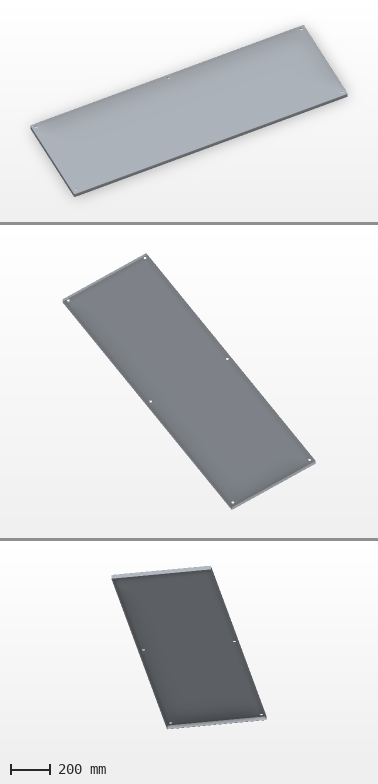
import cadquery as cq

width = 507.0
length = 1524.0
height = 23.0

sheet = 2.0
bend_radius = 3.0

hole_diameter = 14.3
hole_inset_y = 23.0
hole_span_x = 463.0
hole_span_y = length - 2 * hole_inset_y
hole_rows = 3


def rounded_block(block_width, block_length, block_height, top_radius):
    """Block standing on Z = 0 with its four top edges rounded."""
    block = cq.Workplane("XY").box(block_width, block_length, block_height, centered=(True, True, False))
    return block.faces(">Z").edges().fillet(top_radius)


outer = rounded_block(width, length, height, bend_radius)
cavity = rounded_block(
    width - 2 * sheet,
    length - 2 * sheet,
    height - sheet,
    bend_radius - sheet,
)
panel = outer.cut(cavity)

holes = (
    cq.Workplane("XY")
    .rarray(hole_span_x, hole_span_y / (hole_rows - 1), 2, hole_rows)
    .circle(hole_diameter / 2)
    .extrude(height)
)

corner_reliefs = (
    cq.Workplane("XY")
    .rarray(width, length, 2, 2)
    .rect(2 * bend_radius, 2 * bend_radius)
    .extrude(height)
)

result = panel.cut(holes).cut(corner_reliefs)